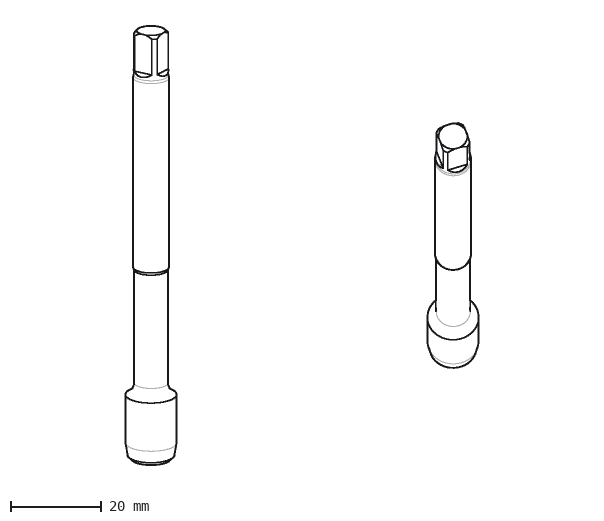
import cadquery as cq
import math

overall_length = 100.0
head_length = 15.0
neck_top_z = 44.2
shank_base_z = 44.8
shank_top_z = 89.1
collar_base_z = 89.7

flare_radius = 3.0

head_diameter = 11.3
neck_diameter = 7.5
shank_diameter = 8.0
drive_diameter = 7.7

square_width = 6.2
square_length = 9.0
drive_chamfer = 0.7

taper_length = 3.8
taper_end_diameter = 10.4
tip_diameter = 8.6
tip_chamfer_height = 0.9

head_radius = head_diameter / 2
neck_radius = neck_diameter / 2
shank_radius = shank_diameter / 2
drive_radius = drive_diameter / 2


def make_head():
    """Working head: a cylinder with a conical taper and a bevelled tip."""
    return (
        cq.Workplane("XZ")
        .lineTo(tip_diameter / 2, 0)
        .lineTo(taper_end_diameter / 2, tip_chamfer_height)
        .lineTo(head_radius, taper_length)
        .lineTo(head_radius, head_length)
        .lineTo(0, head_length)
        .close()
        .revolve(360, (0, 0, 0), (0, 1, 0))
    )


def make_shank_blank():
    """Round shank: flare, neck, full-diameter shank and chamfered drive end."""
    flare_width = head_radius - neck_radius
    flare_angle = math.acos(1 - flare_width / flare_radius)
    neck_base_z = head_length + flare_radius * math.sin(flare_angle)
    half_angle = flare_angle / 2
    flare_middle = (
        neck_radius + flare_radius * (1 - math.cos(half_angle)),
        neck_base_z - flare_radius * math.sin(half_angle),
    )
    return (
        cq.Workplane("XZ")
        .moveTo(0, head_length)
        .lineTo(head_radius, head_length)
        .threePointArc(flare_middle, (neck_radius, neck_base_z))
        .lineTo(neck_radius, neck_top_z)
        .lineTo(shank_radius, shank_base_z)
        .lineTo(shank_radius, shank_top_z)
        .lineTo(drive_radius, collar_base_z)
        .lineTo(drive_radius, overall_length - drive_chamfer)
        .lineTo(drive_radius - drive_chamfer, overall_length)
        .lineTo(0, overall_length)
        .close()
        .revolve(360, (0, 0, 0), (0, 1, 0))
    )


def make_flat_cutter():
    """Cutter for one drive flat on the +X side, with a 45 degree run-out."""
    flat_x = square_width / 2
    outer_x = shank_diameter
    flat_base_z = overall_length - square_length
    return (
        cq.Workplane("XZ")
        .moveTo(flat_x, overall_length)
        .lineTo(flat_x, flat_base_z)
        .lineTo(outer_x, flat_base_z - (outer_x - flat_x))
        .lineTo(outer_x, overall_length)
        .close()
        .extrude(shank_radius, both=True)
    )


def make_shank():
    """Shank with four flats forming the square drive."""
    shank = make_shank_blank()
    flat_cutter = make_flat_cutter()
    flat_count = 4
    for index in range(flat_count):
        angle = index * 360 / flat_count
        shank = shank.cut(flat_cutter.rotate((0, 0, 0), (0, 0, 1), angle))
    return shank


head = make_head()
shank = make_shank()
result = cq.Compound.makeCompound([head.val(), shank.val()])